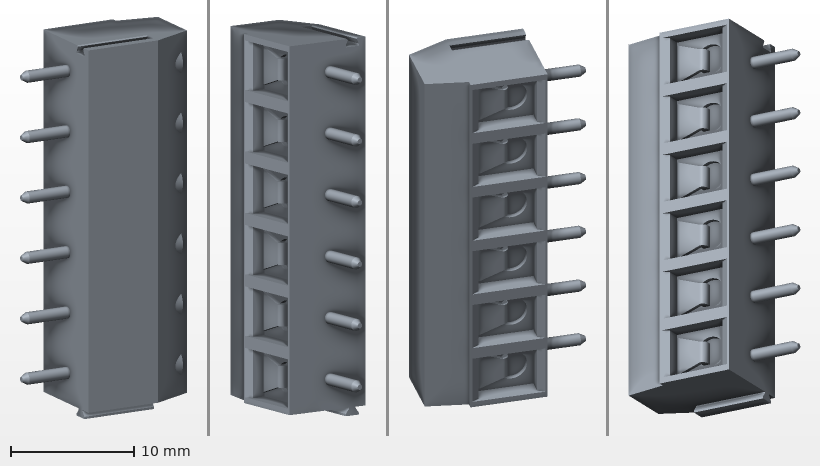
import cadquery as cq


pole_count = 6
pitch = 5.08
length = pole_count * pitch
overall_height = 31.15

width = 7.5
depth = 10.03
shoulder_y = 6.48
shoulder_x = 0.5
crown_left = 1.12
crown_right = 5.95

pin_radius = 0.5
pin_x = 4.0
pin_length = 4.27
pin_root = 0.62
pin_tip_length = 0.5
pin_tip_radius = 0.22

pocket_front = 0.2
pocket_back = 6.33
pocket_height = 4.08
pocket_depth = 1.53
bevel_run = 0.6
bevel_depth = 0.35
floor_back = pocket_back - bevel_run

recess_radius = 1.28
recess_y = 2.6
recess_depth = 0.45
recess_bottom = pocket_depth + recess_depth

tongue_rise = 0.37
tongue_face = pocket_depth - tongue_rise
tongue_end = 2.9
tongue_bend = 0.5
tongue_root_width = 3.43
tongue_neck_width = 1.8
tongue_neck_y = tongue_end + tongue_bend

screw_x = 5.17
screw_radius = 1.4
screw_rim_y = 9.32
screw_dome_height = 0.5
screw_length = 2.5

dovetail_x = 6.2
dovetail_base = 1.28
dovetail_height = overall_height - length
key_neck = 0.62
groove_neck = 0.87
dovetail_lip = 0.2
groove_flare = 0.1
dovetail_root = 0.1


def make_housing():
    """Plain housing with a stepped -X side and a sloped +X side."""
    outline = [
        (0, 0),
        (width, 0),
        (width, shoulder_y),
        (crown_right, depth),
        (crown_left, depth),
        (shoulder_x, shoulder_y),
        (0, shoulder_y),
    ]
    return cq.Workplane("XY").polyline(outline).close().extrude(length)


def make_pocket(z):
    """Wire opening with bevelled ends and a round recess in its floor."""
    opening = [
        (0, pocket_front),
        (bevel_depth, pocket_front + bevel_run),
        (pocket_depth, pocket_front + bevel_run),
        (pocket_depth, floor_back),
        (bevel_depth, floor_back),
        (0, pocket_back),
    ]
    pocket = (
        cq.Workplane("XY", origin=(0, 0, z - pocket_height / 2))
        .polyline(opening)
        .close()
        .extrude(pocket_height)
    )
    recess = (
        cq.Workplane("YZ", origin=(bevel_depth, recess_y, z))
        .circle(recess_radius)
        .extrude(recess_bottom - bevel_depth)
    )
    return pocket.union(recess)


def make_tongue(z):
    """Tapered clamp tongue, rounded over at both ends."""
    side = (
        cq.Workplane("XY", origin=(0, 0, z - tongue_root_width / 2))
        .moveTo(recess_bottom, tongue_end)
        .lineTo(tongue_face + tongue_bend, tongue_end)
        .radiusArc((tongue_face, tongue_neck_y), tongue_bend)
        .lineTo(tongue_face, floor_back - tongue_bend)
        .radiusArc((tongue_face + tongue_bend, floor_back), tongue_bend)
        .lineTo(recess_bottom, floor_back)
        .close()
        .extrude(tongue_root_width)
    )
    half_neck = tongue_neck_width / 2
    half_root = tongue_root_width / 2
    taper = (
        cq.Workplane("YZ", origin=(0, 0, z))
        .polyline(
            [
                (tongue_end, -half_neck),
                (tongue_neck_y, -half_neck),
                (floor_back, -half_root),
                (floor_back, half_root),
                (tongue_neck_y, half_neck),
                (tongue_end, half_neck),
            ]
        )
        .close()
        .extrude(recess_bottom)
    )
    return side.intersect(taper)


def make_pin(z):
    """Round solder pin with a conical tip."""
    return (
        cq.Workplane("XY", origin=(pin_x, 0, z))
        .moveTo(0, pin_root)
        .lineTo(-pin_radius, pin_root)
        .lineTo(-pin_radius, pin_tip_length - pin_length)
        .lineTo(-pin_tip_radius, -pin_length)
        .lineTo(0, -pin_length)
        .close()
        .revolve(360, (0, 0, 0), (0, 1, 0))
    )


def make_screw(z):
    """Dome-headed clamp screw along Y."""
    dome_radius = (screw_radius**2 + screw_dome_height**2) / (2 * screw_dome_height)
    return (
        cq.Workplane("XY", origin=(screw_x, screw_rim_y, z))
        .moveTo(0, -screw_length)
        .lineTo(screw_radius, -screw_length)
        .lineTo(screw_radius, 0)
        .radiusArc((0, screw_dome_height), -dome_radius)
        .close()
        .revolve(360, (0, 0, 0), (0, 1, 0))
    )


def make_dovetail(neck, top, mouth_flare=0):
    """Dovetail bar along Y below the level `top`: flared mouth, widening flanks, upright base lips."""
    half_neck = neck / 2
    half_mouth = half_neck + mouth_flare
    half_base = dovetail_base / 2
    neck_z = top - dovetail_root
    base_z = top - dovetail_height
    lip_z = base_z + dovetail_lip
    outline = [
        (-half_mouth, top),
        (half_mouth, top),
        (half_neck, neck_z),
        (half_base, lip_z),
        (half_base, base_z),
        (-half_base, base_z),
        (-half_base, lip_z),
        (-half_neck, neck_z),
    ]
    return cq.Workplane("XZ", origin=(dovetail_x, 0, 0)).polyline(outline).close().extrude(-shoulder_y)


result = make_housing()
result = result.cut(make_dovetail(groove_neck, length, groove_flare))
result = result.union(make_dovetail(key_neck, 0))

for pole in range(pole_count):
    pole_z = (pole + 0.5) * pitch
    result = result.cut(make_pocket(pole_z))
    result = result.union(make_tongue(pole_z))
    result = result.union(make_screw(pole_z))
    result = result.union(make_pin(pole_z))